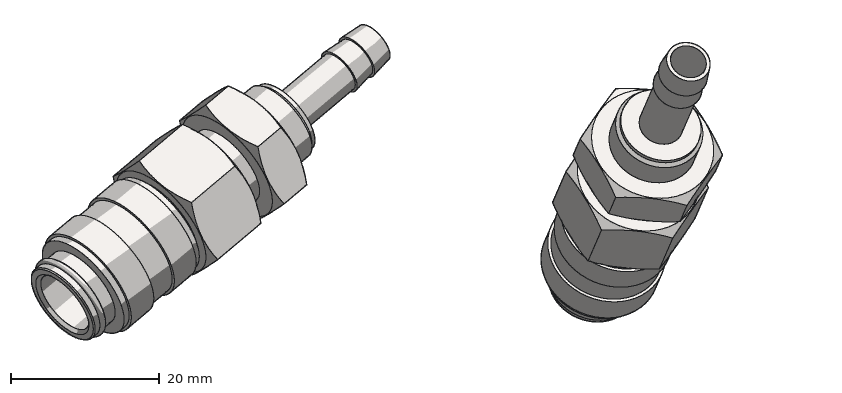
import cadquery as cq
import math

LENGTH = 60.0

HEX_FLATS = 17.0
HEX_CORNER_RADIUS = HEX_FLATS / math.sqrt(3)
HEX_FACE_RADIUS = 8.4
HEX_CHAMFER_ANGLE = 30.0
ENVELOPE_MARGIN = 0.6
BODY_HEX_START = 19.0
BODY_HEX_LENGTH = 9.95
NUT_START = 31.8
NUT_LENGTH = 6.0

NOSE_RADIUS = 6.0
NOSE_CHAMFER = 0.2
BEAD_CENTER = 1.55
BEAD_HEIGHT = 0.4
BEAD_HALF_WIDTH = 0.5

SLEEVE_START = 4.0
SLEEVE_END = 18.5
SLEEVE_RADIUS = 7.7
BAND_RADIUS = 8.1
FRONT_BAND_START = 5.0
FRONT_BAND_END = 9.3
REAR_BAND_START = 13.25
REAR_BAND_END = 17.45
NECK_RADIUS = 6.85

SHANK_RADIUS = 6.0
COLLAR_RADIUS = 5.5
COLLAR_END = 42.95
COLLAR_LENGTH = 0.6
SHANK_CHAMFER = SHANK_RADIUS - COLLAR_RADIUS

TAIL_RADIUS = 3.0
BARB_RADIUS = 3.35
BARB_LENGTH = 3.35
BARB_COUNT = 2

MOUTH_RADIUS = 5.0
SOCKET_RADIUS = 4.5
SOCKET_DEPTH = 15.0
VALVE_RADIUS = 3.55
VALVE_DEPTH = 30.0
BORE_RADIUS = 2.45
MOUTH_CHAMFER = MOUTH_RADIUS - SOCKET_RADIUS


def revolve_about_y(profile):
    """Revolve a closed outline of (radius, Y) points about the Y axis."""
    return cq.Workplane("XY").polyline(profile).close().revolve(360, (0, 0), (0, 1))


def cylinder(radius, start, end):
    """Round bar along Y from start to end."""
    return revolve_about_y([(0, start), (radius, start), (radius, end), (0, end)])


def chamfered_hexagon(start, length):
    """Hexagonal bar along Y, corners pointing to +X and -X, with both ends turned to a cone."""
    prism = (
        cq.Workplane("XZ", origin=(0, start, 0))
        .polygon(6, 2 * HEX_CORNER_RADIUS)
        .extrude(-length)
    )
    end = start + length
    outer = HEX_CORNER_RADIUS + ENVELOPE_MARGIN
    drop = (outer - HEX_FACE_RADIUS) * math.tan(math.radians(HEX_CHAMFER_ANGLE))
    turned_envelope = revolve_about_y([
        (0, start),
        (HEX_FACE_RADIUS, start),
        (outer, start + drop),
        (outer, end - drop),
        (HEX_FACE_RADIUS, end),
        (0, end),
    ])
    return prism.intersect(turned_envelope)


def make_nose():
    """Round nose; each flank of its bead is an arc rising to the crest."""
    crest = (NOSE_RADIUS + BEAD_HEIGHT, BEAD_CENTER)
    bead_back = (NOSE_RADIUS, BEAD_CENTER + BEAD_HALF_WIDTH)
    diagonal = math.sqrt(0.5)
    flank_radius = NOSE_RADIUS + BEAD_HEIGHT * diagonal
    flank_offset = BEAD_HALF_WIDTH * diagonal
    return (
        cq.Workplane("XY")
        .lineTo(NOSE_RADIUS - NOSE_CHAMFER, 0)
        .lineTo(NOSE_RADIUS, NOSE_CHAMFER)
        .lineTo(NOSE_RADIUS, BEAD_CENTER - BEAD_HALF_WIDTH)
        .threePointArc((flank_radius, BEAD_CENTER - flank_offset), crest)
        .threePointArc((flank_radius, BEAD_CENTER + flank_offset), bead_back)
        .lineTo(NOSE_RADIUS, SLEEVE_START)
        .lineTo(0, SLEEVE_START)
        .close()
        .revolve(360, (0, 0), (0, 1))
    )


def make_sleeve():
    sleeve = cylinder(SLEEVE_RADIUS, SLEEVE_START, SLEEVE_END)
    front_band = cylinder(BAND_RADIUS, FRONT_BAND_START, FRONT_BAND_END)
    rear_band = cylinder(BAND_RADIUS, REAR_BAND_START, REAR_BAND_END)
    neck = cylinder(NECK_RADIUS, SLEEVE_END, BODY_HEX_START)
    return sleeve.union(front_band).union(rear_band).union(neck)


def make_shank():
    collar_start = COLLAR_END - COLLAR_LENGTH
    return revolve_about_y([
        (0, BODY_HEX_START + BODY_HEX_LENGTH),
        (SHANK_RADIUS, BODY_HEX_START + BODY_HEX_LENGTH),
        (SHANK_RADIUS, collar_start - SHANK_CHAMFER),
        (COLLAR_RADIUS, collar_start),
        (COLLAR_RADIUS, COLLAR_END),
        (0, COLLAR_END),
    ])


def make_hose_tail():
    tail = cylinder(TAIL_RADIUS, COLLAR_END, LENGTH)
    for index in range(BARB_COUNT):
        tip = LENGTH - index * BARB_LENGTH
        root = tip - BARB_LENGTH
        barb = revolve_about_y([(0, root), (BARB_RADIUS, root), (TAIL_RADIUS, tip), (0, tip)])
        tail = tail.union(barb)
    return tail


def make_bore():
    return revolve_about_y([
        (0, 0),
        (MOUTH_RADIUS, 0),
        (SOCKET_RADIUS, MOUTH_CHAMFER),
        (SOCKET_RADIUS, SOCKET_DEPTH),
        (VALVE_RADIUS, SOCKET_DEPTH),
        (VALVE_RADIUS, VALVE_DEPTH),
        (BORE_RADIUS, VALVE_DEPTH),
        (BORE_RADIUS, LENGTH),
        (0, LENGTH),
    ])


def make_coupling():
    return (
        make_nose()
        .union(make_sleeve())
        .union(chamfered_hexagon(BODY_HEX_START, BODY_HEX_LENGTH))
        .union(make_shank())
        .union(make_hose_tail())
        .cut(make_bore())
    )


def make_lock_nut():
    shank_hole = cylinder(SHANK_RADIUS, NUT_START, NUT_START + NUT_LENGTH)
    return chamfered_hexagon(NUT_START, NUT_LENGTH).cut(shank_hole)


coupling = make_coupling()
lock_nut = make_lock_nut()

result = cq.Compound.makeCompound([coupling.val(), lock_nut.val()])